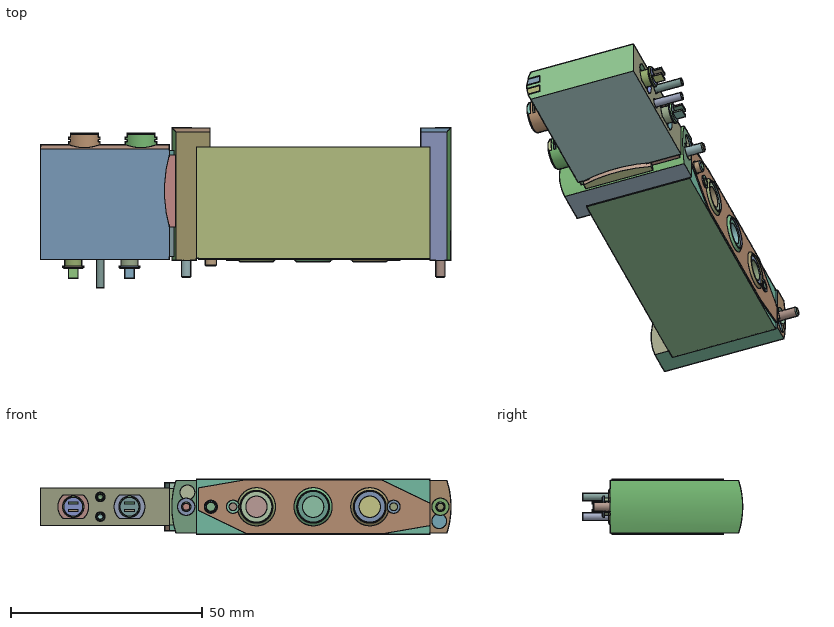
import cadquery as cq
import math


TOTAL_LENGTH = 107.5
PILOT_END = 33.7
BLOCK_LEFT = 40.8
BLOCK_RIGHT = 101.9
BLOCK_MID = (BLOCK_LEFT + BLOCK_RIGHT) / 2

BLOCK_HEIGHT = 14.4
BLOCK_FRONT = 0.5
BLOCK_BACK = 29.7
PLATE_FRONT = 0.2
PLATE_HEIGHT = 14.0
PLATE_GAP = 0.5
PLATE_EDGE_HIGH = 4.9
PLATE_EDGE_LOW = 1.0
PLATE_LONG_SLOPE = 12.5
PLATE_SHORT_SLOPE = 11.8

PORT_COUNT = 3
PORT_PITCH = 14.8
PORT_BASE_DIA = 10.0
PORT_RIM_DIA = 8.6
PORT_RECESS_DIA = 8.1
PORT_BORE_DIA = 5.6
PORT_FRONT = -0.4
PORT_RECESS_DEPTH = 0.4
PORT_BORE_DEPTH = 1.7

EYELET_X = (50.4, 92.4)
EYELET_DIA = 3.4
EYELET_HOLE_DIA = 2.0
EYELET_HOLE_DEPTH = 1.1
EYELET_FRONT = -0.1

STUD_X = 44.6
STUD_DIA = 3.0
STUD_HOLE_DIA = 3.4
STUD_HOLE_DEPTH = 0.5
STUD_TIP = -1.5
STUD_CHAMFER = 0.3

CAP_HEIGHT = 13.8
CAP_DEPTH = 34.7
CAP_BULGE = 1.1
LEFT_CAP_END = 34.4
LEFT_CAP_LIP = 44.4
RIGHT_CAP_LIP = 99.5

SCREW_X = (38.1, 104.7)
SCREW_DIA = 2.5
SCREW_TIP = -4.5
SCREW_CHAMFER = 0.3
SCREW_HOLE_DIA = 4.5
SCREW_HOLE_DEPTH = 1.1
POCKET_DIA = 3.9
POCKET_X_SHIFT = 0.3
POCKET_Z = 3.8
POCKET_DEPTH = 0.4

NECK_FRONT = 1.0
NECK_BACK = 28.8
NECK_HEIGHT = 9.7
CLIP_FRONT = 8.7
CLIP_BACK = 27.6
CLIP_HEIGHT = 12.7
CLIP_BULGE = 1.3

PILOT_HEIGHT = 9.9
PILOT_FRONT = 0.2
PILOT_BACK = 30.3
PILOT_BULGE = 1.2

PIN_X = 15.7
PIN_Z = 2.6
PIN_DIA = 2.0
PIN_HOLE_DIA = 2.5
PIN_HOLE_DEPTH = 0.5
PIN_DIMPLE_DIA = 1.4
PIN_DIMPLE_DEPTH = 0.3
PIN_TIP = -7.2

PLUG_X = (8.6, 23.3)
PLUG_RECESS_DIA = 8.1
PLUG_RECESS_HEIGHT = 6.1
PLUG_RECESS_DEPTH = 1.1
PLUG_STEM_DIA = 4.5
PLUG_FLANGE_DIA = 5.6
PLUG_FLANGE_BACK = -1.5
PLUG_FLANGE_FRONT = -2.1
PLUG_FLANGE_CHAMFER = 0.3
BLADE_TIP = -4.7
BLADE_WIDTH = 2.6
BLADE_THICKNESS = 0.5
BLADE_Z = 1.0

KNOB_X = (11.5, 26.3)
KNOB_DIA = 8.3
KNOB_BACK = 33.3
KNOB_CHAMFER = 0.4
KNOB_FLAT_WIDTH = 7.3
KNOB_FLAT_START = 31.0
LUG_Y = 31.9
LUG_THICKNESS = 0.6
LUG_HEIGHT = 4.3

WINDOW_Z = 1.7
WINDOW_HEIGHT = 2.1
WINDOW_FRONT = 26.6
WINDOW_DEPTH = 0.2


def box(x0, x1, y0, y1, z0, z1):
    """Box between the given limits."""
    return cq.Workplane("XY").box(x1 - x0, y1 - y0, z1 - z0, centered=False).translate((x0, y0, z0))


def rod(diameter, x, z, y0, y1):
    """Cylinder along Y from y0 to the larger y1."""
    return cq.Workplane("XZ", origin=(x, y0, z)).circle(diameter / 2).extrude(y0 - y1)


def front_prism(outline, y0, y1):
    """Prism with an outline of (x, z) points, from y0 to the larger y1."""
    return cq.Workplane("XZ", origin=(0, y0, 0)).polyline(outline).close().extrude(y0 - y1)


def bulged_slab(x0, x1, front, back, height, bulge):
    """Slab whose back face rises in an arc from the top and bottom edges to its middle."""
    half = height / 2
    return (
        cq.Workplane("YZ", origin=(x0, 0, 0))
        .moveTo(front, -half)
        .lineTo(back - bulge, -half)
        .threePointArc((back, 0), (back - bulge, half))
        .lineTo(front, half)
        .close()
        .extrude(x1 - x0)
    )


def make_plate():
    """Raised six-sided plate, the same after half a turn about its own middle."""
    left = BLOCK_LEFT + PLATE_GAP
    middle = (left + BLOCK_RIGHT) / 2
    half_length = BLOCK_RIGHT - middle
    half_height = PLATE_HEIGHT / 2
    half_outline = [
        (-half_length, -PLATE_EDGE_LOW),
        (-half_length, PLATE_EDGE_HIGH),
        (-half_length + PLATE_SHORT_SLOPE, half_height),
        (half_length - PLATE_LONG_SLOPE, half_height),
    ]
    outline = half_outline + [(-x, -z) for x, z in half_outline]
    return front_prism([(middle + x, z) for x, z in outline], PLATE_FRONT, BLOCK_FRONT)


def add_port(block, x):
    """Conical rim with a shallow recess and a blind bore."""
    rim = (
        cq.Workplane("XZ", origin=(x, PLATE_FRONT, 0))
        .circle(PORT_BASE_DIA / 2)
        .workplane(offset=PLATE_FRONT - PORT_FRONT)
        .circle(PORT_RIM_DIA / 2)
        .loft()
    )
    recess_floor = PORT_FRONT + PORT_RECESS_DEPTH
    recess = rod(PORT_RECESS_DIA, x, 0, PORT_FRONT, recess_floor)
    bore = rod(PORT_BORE_DIA, x, 0, PORT_FRONT, recess_floor + PORT_BORE_DEPTH)
    return block.union(rim).cut(recess).cut(bore)


def add_eyelet(block, x):
    """Low round boss with a blind hole."""
    boss = rod(EYELET_DIA, x, 0, EYELET_FRONT, BLOCK_FRONT)
    hole = rod(EYELET_HOLE_DIA, x, 0, EYELET_FRONT, EYELET_FRONT + EYELET_HOLE_DEPTH)
    return block.union(boss).cut(hole)


def add_stud(block):
    """Round stud standing in a clearance hole."""
    floor = PLATE_FRONT + STUD_HOLE_DEPTH
    stud = rod(STUD_DIA, STUD_X, 0, STUD_TIP, floor).faces("<Y").chamfer(STUD_CHAMFER)
    return block.cut(rod(STUD_HOLE_DIA, STUD_X, 0, PLATE_FRONT, floor)).union(stud)


def make_block():
    half = BLOCK_HEIGHT / 2
    block = box(BLOCK_LEFT, BLOCK_RIGHT, BLOCK_FRONT, BLOCK_BACK, -half, half).union(make_plate())
    for x in EYELET_X:
        block = add_eyelet(block, x)
    for i in range(PORT_COUNT):
        block = add_port(block, BLOCK_MID + (i - (PORT_COUNT - 1) / 2) * PORT_PITCH)
    return add_stud(block)


def make_cap(end, joint, lip, screw_x, pocket_z):
    """Cap with a rounded outer end, a rounded back, a lip behind the block and a screw."""
    half = CAP_HEIGHT / 2
    toward_block = math.copysign(1, joint - end)
    edge = end + toward_block * CAP_BULGE
    cap = bulged_slab(min(end, lip), max(end, lip), 0, CAP_DEPTH, CAP_HEIGHT, CAP_BULGE)
    end_profile = (
        cq.Workplane("XZ")
        .moveTo(lip, -half)
        .lineTo(edge, -half)
        .threePointArc((end, 0), (edge, half))
        .lineTo(lip, half)
        .close()
        .extrude(-CAP_DEPTH)
    )
    block_seat = box(min(joint, lip), max(joint, lip), 0, BLOCK_BACK, -half, half)
    cap = cap.intersect(end_profile).cut(block_seat)

    pocket_x = screw_x + toward_block * POCKET_X_SHIFT
    cap = cap.cut(rod(SCREW_HOLE_DIA, screw_x, 0, 0, SCREW_HOLE_DEPTH))
    cap = cap.cut(rod(POCKET_DIA, pocket_x, pocket_z, 0, POCKET_DEPTH))
    screw = rod(SCREW_DIA, screw_x, 0, SCREW_TIP, SCREW_HOLE_DEPTH).faces("<Y").chamfer(SCREW_CHAMFER)
    return cap.union(screw)


def make_neck():
    """Neck between the left cap and the pilot, with two curved clip tabs over the pilot."""
    half = NECK_HEIGHT / 2
    root = LEFT_CAP_END + CAP_BULGE
    neck = box(PILOT_END, root, NECK_FRONT, NECK_BACK, -half, half)
    clip = (
        cq.Workplane("XY", origin=(0, 0, -CLIP_HEIGHT / 2))
        .moveTo(root, CLIP_FRONT)
        .lineTo(PILOT_END, CLIP_FRONT)
        .threePointArc((PILOT_END - CLIP_BULGE, (CLIP_FRONT + CLIP_BACK) / 2), (PILOT_END, CLIP_BACK))
        .lineTo(root, CLIP_BACK)
        .close()
        .extrude(CLIP_HEIGHT)
    )
    pilot_half = PILOT_HEIGHT / 2
    pilot_seat = box(0, PILOT_END, CLIP_FRONT, CLIP_BACK, -pilot_half, pilot_half)
    return neck.union(clip.cut(pilot_seat))


def add_plug(pilot, x):
    """Stem with a flange and two blades, standing in a recess with flat top and bottom."""
    floor = PILOT_FRONT + PLUG_RECESS_DEPTH
    half = PLUG_RECESS_HEIGHT / 2
    radius = PLUG_RECESS_DIA / 2
    recess = rod(PLUG_RECESS_DIA, x, 0, PILOT_FRONT, floor)
    recess = recess.intersect(box(x - radius, x + radius, PILOT_FRONT, floor, -half, half))
    stem = rod(PLUG_STEM_DIA, x, 0, PLUG_FLANGE_BACK, floor)
    flange = rod(PLUG_FLANGE_DIA, x, 0, PLUG_FLANGE_FRONT, PLUG_FLANGE_BACK)
    flange = flange.faces("<Y").chamfer(PLUG_FLANGE_CHAMFER)
    pilot = pilot.cut(recess).union(stem).union(flange)
    for z in (-BLADE_Z, BLADE_Z):
        blade = box(
            x - BLADE_WIDTH / 2, x + BLADE_WIDTH / 2,
            BLADE_TIP, PLUG_FLANGE_FRONT,
            z - BLADE_THICKNESS / 2, z + BLADE_THICKNESS / 2,
        )
        pilot = pilot.union(blade)
    return pilot


def make_knob(x):
    """Round knob with a flat and a lug on each side."""
    radius = KNOB_DIA / 2
    root = PILOT_BACK - PILOT_BULGE
    disc = rod(KNOB_DIA, x, 0, root, KNOB_BACK).faces(">Y").chamfer(KNOB_CHAMFER)
    core_half = KNOB_FLAT_WIDTH / 2
    base = box(x - radius, x + radius, root, KNOB_FLAT_START, -radius, radius)
    core = box(x - core_half, x + core_half, root, KNOB_BACK, -radius, radius)
    lugs = box(
        x - radius, x + radius,
        LUG_Y - LUG_THICKNESS / 2, LUG_Y + LUG_THICKNESS / 2,
        -LUG_HEIGHT / 2, LUG_HEIGHT / 2,
    )
    return disc.intersect(base.union(core).union(lugs))


def add_pin(pilot, z):
    """Contact pin with a conical dimple in its tip, standing in a clearance hole."""
    floor = PILOT_FRONT + PIN_HOLE_DEPTH
    dimple = cq.Solid.makeCone(
        PIN_DIMPLE_DIA / 2, 0, PIN_DIMPLE_DEPTH, cq.Vector(PIN_X, PIN_TIP, z), cq.Vector(0, 1, 0)
    )
    pin = rod(PIN_DIA, PIN_X, z, PIN_TIP, floor).cut(cq.Workplane(dimple))
    return pilot.cut(rod(PIN_HOLE_DIA, PIN_X, z, PILOT_FRONT, floor)).union(pin)


def make_pilot():
    pilot = bulged_slab(0, PILOT_END, PILOT_FRONT, PILOT_BACK, PILOT_HEIGHT, PILOT_BULGE)
    for x in KNOB_X:
        pilot = pilot.union(make_knob(x))
    for x in PLUG_X:
        pilot = add_plug(pilot, x)
    for side in (-1, 1):
        pilot = add_pin(pilot, side * PIN_Z)
        low = side * WINDOW_Z - WINDOW_HEIGHT / 2
        window = box(0, WINDOW_DEPTH, WINDOW_FRONT, PILOT_BACK, low, low + WINDOW_HEIGHT)
        pilot = pilot.cut(window)
    return pilot


valve_block = make_block()
left_cap = make_cap(LEFT_CAP_END, BLOCK_LEFT, LEFT_CAP_LIP, SCREW_X[0], POCKET_Z).union(make_neck())
right_cap = make_cap(TOTAL_LENGTH, BLOCK_RIGHT, RIGHT_CAP_LIP, SCREW_X[1], -POCKET_Z)
pilot_unit = make_pilot()

result = cq.Compound.makeCompound([valve_block.val(), left_cap.val(), right_cap.val(), pilot_unit.val()])